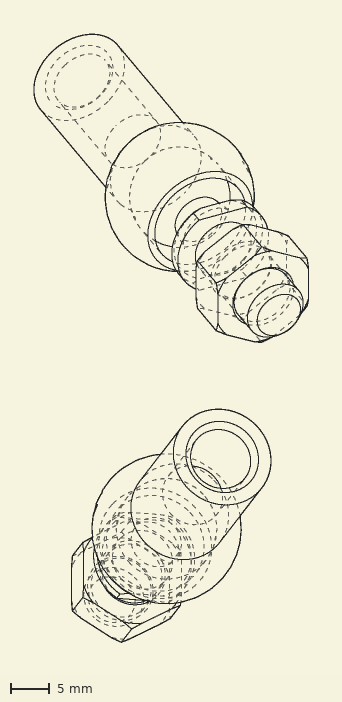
import cadquery as cq
import math


total_length = 59.5
ball_center_x = 30.0

tube_diameter = 13.0
head_diameter = 19.3
mouth_x = 36.05
thread_bore_diameter = 8.0
thread_bore_depth = 16.0
bore_tip_angle = 118.0
bore_chamfer = 0.85

ball_diameter = 13.0
neck_start_radius = 3.35
neck_end_x = 38.9
neck_end_radius = 3.85
collar_x = 40.6
collar_face_radius = 5.9
collar_edge_x = 41.1
collar_end_x = 42.9
collar_diameter = 13.0
collar_across_flats = 11.0
shank_diameter = 8.0
shank_tip_radius = 3.1
shank_chamfer_length = 1.1

nut_x = 48.3
nut_thickness = 6.55
nut_across_flats = 13.0
nut_face_diameter = 13.75
nut_chamfer_length = 0.5
nut_countersink_diameter = 8.7


def revolve_about_x(profile):
    """Revolve a closed (x, radius) profile about the X axis."""
    return profile.close().revolve(360, (0, 0, 0), (1, 0, 0))


def cylinder_along_x(diameter, start_x, length):
    return cq.Workplane("YZ", origin=(start_x, 0, 0)).circle(diameter / 2).extrude(length)


def ball_at_center(diameter):
    return cq.Workplane("XY", origin=(ball_center_x, 0, 0)).sphere(diameter / 2)


def make_thread_bore():
    """Blind bore with a chamfered entry and a drill-point bottom."""
    bore_radius = thread_bore_diameter / 2
    tip_length = bore_radius / math.tan(math.radians(bore_tip_angle / 2))
    return revolve_about_x(
        cq.Workplane("XY")
        .moveTo(0, 0)
        .lineTo(0, bore_radius + bore_chamfer)
        .lineTo(bore_chamfer, bore_radius)
        .lineTo(thread_bore_depth, bore_radius)
        .lineTo(thread_bore_depth + tip_length, 0)
    )


def make_housing():
    """Tube with a ball-shaped head, truncated flat at the open mouth."""
    tube = cylinder_along_x(tube_diameter, 0, ball_center_x)
    head = ball_at_center(head_diameter)
    beyond_mouth = cylinder_along_x(head_diameter, mouth_x, head_diameter)
    socket_seat = ball_at_center(ball_diameter)
    socket_entry = cylinder_along_x(ball_diameter, ball_center_x, mouth_x - ball_center_x)
    return (
        tube.union(head)
        .cut(beyond_mouth)
        .cut(socket_seat)
        .cut(socket_entry)
        .cut(make_thread_bore())
    )


def make_stud():
    """Ball, tapered neck, collar with two flats, and shank."""
    ball_radius = ball_diameter / 2
    shank_radius = shank_diameter / 2
    neck_start_x = ball_center_x + math.sqrt(ball_radius**2 - neck_start_radius**2)
    stud = revolve_about_x(
        cq.Workplane("XY")
        .moveTo(ball_center_x - ball_radius, 0)
        .threePointArc((ball_center_x, ball_radius), (neck_start_x, neck_start_radius))
        .lineTo(neck_end_x, neck_end_radius)
        .tangentArcPoint((collar_x, collar_face_radius), relative=False)
        .lineTo(collar_edge_x, collar_diameter / 2)
        .lineTo(collar_end_x, collar_diameter / 2)
        .lineTo(collar_end_x, shank_radius)
        .lineTo(total_length - shank_chamfer_length, shank_radius)
        .lineTo(total_length, shank_tip_radius)
        .lineTo(total_length, 0)
    )
    collar_length = collar_end_x - neck_end_x
    flat_limits = cq.Workplane("XY", origin=(neck_end_x + collar_length / 2, 0, 0)).box(
        collar_length, collar_diameter, collar_across_flats
    )
    collar_waste = cylinder_along_x(2 * collar_diameter, neck_end_x, collar_length).cut(flat_limits)
    return stud.cut(collar_waste)


def make_nut():
    """Hexagon nut with corners on the Z axis, chamfered on both faces."""
    across_corners = nut_across_flats / math.cos(math.radians(30))
    corner_radius = across_corners / 2
    face_radius = nut_face_diameter / 2
    nut_end_x = nut_x + nut_thickness
    hexagon = (
        cq.Workplane("YZ", origin=(nut_x, 0, 0))
        .transformed(rotate=(0, 0, 90))
        .polygon(6, across_corners)
        .extrude(nut_thickness)
    )
    chamfer_envelope = revolve_about_x(
        cq.Workplane("XY")
        .moveTo(nut_x, 0)
        .lineTo(nut_x, face_radius)
        .lineTo(nut_x + nut_chamfer_length, corner_radius)
        .lineTo(nut_end_x - nut_chamfer_length, corner_radius)
        .lineTo(nut_end_x, face_radius)
        .lineTo(nut_end_x, 0)
    )
    bore = cylinder_along_x(shank_diameter, nut_x, nut_thickness)
    countersink = (nut_countersink_diameter - shank_diameter) / 2
    return (
        hexagon.intersect(chamfer_envelope)
        .cut(bore)
        .edges("%CIRCLE and (<X or >X)")
        .edges(cq.selectors.RadiusNthSelector(0))
        .chamfer(countersink)
    )


housing = make_housing()
stud = make_stud()
nut = make_nut()

result = cq.Compound.makeCompound([housing.val(), stud.val(), nut.val()])